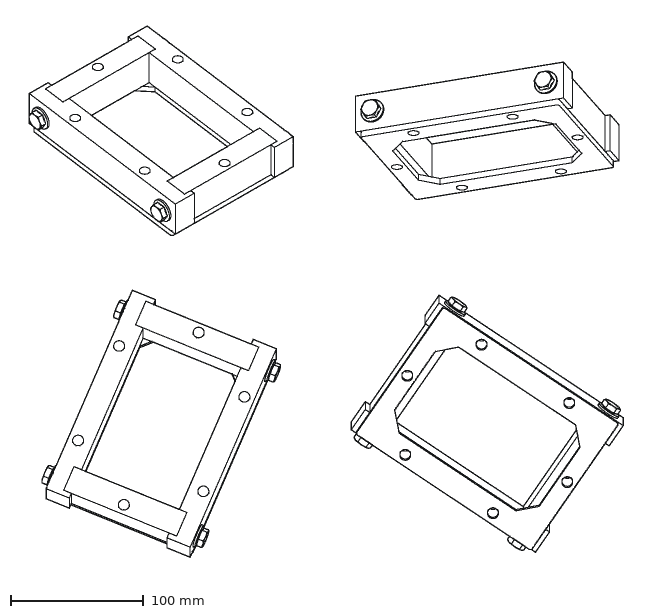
import cadquery as cq
import math

LENGTH = 168.0
DEPTH = 118.0
BAR_HEIGHT = 30.0
PLATE_THICKNESS = 4.9

SIDE_BAR_WIDTH = 19.0
END_BAR_WIDTH = 20.0
END_BAR_INSET = 4.0
TONGUE_DEPTH = 6.2

PLATE_CORNER_RADIUS = 2.0
END_RAIL_WIDTH = 14.1
WINDOW_CORNER = 12.6

HOLE_DIAMETER = 8.2
SIDE_HOLE_X = 40.0
SIDE_HOLE_EDGE = 7.7
END_HOLE_EDGE = END_RAIL_WIDTH / 2

WASHER_DIAMETER = 18.0
WASHER_THICKNESS = 1.5
COLLAR_DIAMETER = 11.5
COLLAR_THICKNESS = 0.7
HEAD_ACROSS_FLATS = 13.0
HEAD_HEIGHT = 4.5
CROWN_DIAMETER = 12.8
CROWN_ANGLE = 30.0

PLATE_LENGTH = LENGTH - 2 * END_BAR_INSET
SIDE_BAR_Y = (DEPTH - SIDE_BAR_WIDTH) / 2
END_BAR_X = (PLATE_LENGTH - END_BAR_WIDTH) / 2
END_BAR_LENGTH = DEPTH - 2 * SIDE_BAR_WIDTH + 2 * TONGUE_DEPTH
SIDE_HOLE_Y = DEPTH / 2 - SIDE_HOLE_EDGE
END_HOLE_X = PLATE_LENGTH / 2 - END_HOLE_EDGE
BOLT_Z = PLATE_THICKNESS + BAR_HEIGHT / 2
SIGNS = (-1, 1)


def block(length, depth, height, x, y, z):
    """Box centred on x and y, standing on height z."""
    return cq.Workplane("XY").box(length, depth, height, centered=(True, True, False)).translate((x, y, z))


def mounting_holes():
    """Cutters for the six vertical holes through bars and plate."""
    places = [(sx * SIDE_HOLE_X, sy * SIDE_HOLE_Y) for sx in SIGNS for sy in SIGNS]
    places += [(sx * END_HOLE_X, 0) for sx in SIGNS]
    return (
        cq.Workplane("XY")
        .pushPoints(places)
        .circle(HOLE_DIAMETER / 2)
        .extrude(PLATE_THICKNESS + BAR_HEIGHT)
    )


def end_bar_blank(side):
    """End bar without its hole, also the cutter for the side bar pockets."""
    return block(END_BAR_WIDTH, END_BAR_LENGTH, BAR_HEIGHT, side * END_BAR_X, 0, PLATE_THICKNESS)


def make_end_bar(side):
    return end_bar_blank(side).cut(mounting_holes())


def make_side_bar(side):
    """Long bar with a full-height pocket for each end bar."""
    bar = block(LENGTH, SIDE_BAR_WIDTH, BAR_HEIGHT, 0, side * SIDE_BAR_Y, PLATE_THICKNESS)
    for end in SIGNS:
        bar = bar.cut(end_bar_blank(end))
    return bar.cut(mounting_holes())


def make_base_plate():
    """Flat frame under the bars, with a window cut across its corners."""
    plate = block(PLATE_LENGTH, DEPTH, PLATE_THICKNESS, 0, 0, 0).edges("|Z").fillet(PLATE_CORNER_RADIUS)
    window_length = PLATE_LENGTH - 2 * END_RAIL_WIDTH
    window_depth = DEPTH - 2 * SIDE_BAR_WIDTH
    window = block(window_length, window_depth, PLATE_THICKNESS, 0, 0, 0).edges("|Z").chamfer(WINDOW_CORNER)
    return plate.cut(window).cut(mounting_holes())


def make_bolt_head():
    """Hexagon with two flats facing along Z and its outer corners turned to a cone."""
    across_corners = HEAD_ACROSS_FLATS / math.cos(math.pi / 6)
    hexagon = cq.Workplane("XY").polygon(6, across_corners).extrude(HEAD_HEIGHT)
    crown_radius = CROWN_DIAMETER / 2
    corner_radius = across_corners / 2
    cone_height = (corner_radius - crown_radius) * math.tan(math.radians(CROWN_ANGLE))
    turned_blank = (
        cq.Workplane("XZ")
        .polyline([
            (0, 0),
            (corner_radius, 0),
            (corner_radius, HEAD_HEIGHT - cone_height),
            (crown_radius, HEAD_HEIGHT),
            (0, HEAD_HEIGHT),
        ])
        .close()
        .revolve(360, (0, 0, 0), (0, 1, 0))
    )
    return hexagon.intersect(turned_blank)


def make_bolt(end, side):
    """Washer, thin collar and hexagon head, seated on a side bar's outer face."""
    bolt = (
        cq.Workplane("XY")
        .circle(WASHER_DIAMETER / 2)
        .extrude(WASHER_THICKNESS)
        .faces(">Z")
        .workplane()
        .circle(COLLAR_DIAMETER / 2)
        .extrude(COLLAR_THICKNESS)
    )
    bolt = bolt.union(make_bolt_head().translate((0, 0, WASHER_THICKNESS + COLLAR_THICKNESS)))
    outward = bolt.rotate((0, 0, 0), (1, 0, 0), -side * 90)
    return outward.translate((end * END_BAR_X, side * DEPTH / 2, BOLT_Z))


base_plate = make_base_plate()
side_bars = [make_side_bar(side) for side in SIGNS]
end_bars = [make_end_bar(side) for side in SIGNS]
bolts = [make_bolt(end, side) for end in SIGNS for side in SIGNS]

result = cq.Compound.makeCompound(
    [base_plate.val()]
    + [bar.val() for bar in side_bars]
    + [bar.val() for bar in end_bars]
    + [bolt.val() for bolt in bolts]
)